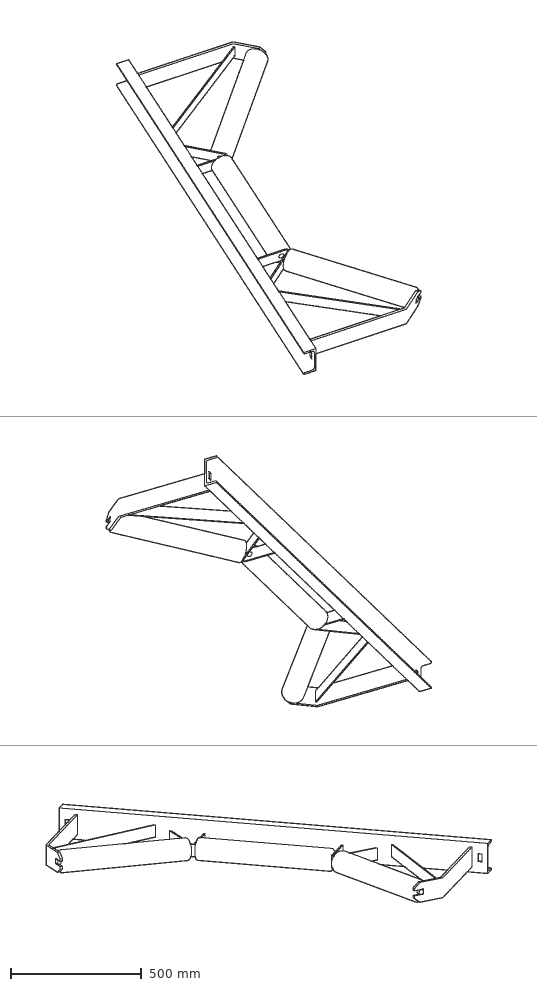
import cadquery as cq
import math


beam_length = 1700.0
beam_height = 120.0
beam_depth = 51.0
web_thickness = 7.0
flange_thickness = 9.0
root_radius = 9.0
toe_radius = 4.5
mount_slot_width = 15.0
mount_slot_height = 30.0
mount_slot_from_end = 30.0

roller_diameter = 88.0
roller_length = 534.0
roller_edge_radius = 5.0
shaft_diameter = 20.0
end_gap = 3.0
trough_angle = 40.0
forward_tilt = 2.0
wing_x = 508.0
wing_y = 306.0
center_y = 120.0
rise = roller_length * math.sin(math.radians(forward_tilt))
wing_z = -rise / 2
center_z = -rise

outer_height = 80.0
outer_thickness = 10.0
outer_x = 782.0
outer_bend_radius = 5.0
arm_length = 130.0
arm_corner_z = 20.0
arm_corner_along = 25.0

inner_height = 50.0
inner_thickness = 6.0
inner_bend_radius = 5.0
inner_x = roller_length / 2 + end_gap + inner_thickness / 2

brace_thickness = 5.0
brace_height = 50.0
brace_top_along_arm = 7.0
brace_foot_x = 471.0

slope = math.radians(trough_angle)
wing_direction = (-math.cos(slope), math.sin(slope))
plate_direction = (math.sin(slope), math.cos(slope))


def offset_point(point, direction, distance):
    return (point[0] + distance * direction[0], point[1] + distance * direction[1])


def bend_point(upright_x, along_wing):
    """Where an upright at upright_x meets a plate square to the left wing axis.

    along_wing is the distance of the plate from the middle of the wing roller, positive outward.
    """
    plate_point = offset_point((-wing_x, wing_y), wing_direction, along_wing)
    rise_per_x = plate_direction[1] / plate_direction[0]
    return (upright_x, plate_point[1] + (upright_x - plate_point[0]) * rise_per_x)


def outer_bend_point():
    return bend_point(-outer_x, roller_length / 2 + end_gap + outer_thickness / 2)


def in_front_of_beam(body):
    """Trims a body flush with the back of the beam web."""
    block = cq.Workplane("XY").box(2 * beam_length, beam_length, beam_length)
    return body.intersect(block.translate((0, beam_length / 2, 0)))


def flat_bar(start, end, thickness, height):
    """Upright bar whose middle plane runs from start to end in the XY plane."""
    run = (end[0] - start[0], end[1] - start[1])
    length = math.hypot(*run)
    bar = cq.Workplane("XY").box(length, thickness, height).translate((length / 2, 0, 0))
    angle = math.degrees(math.atan2(run[1], run[0]))
    return bar.rotate((0, 0, 0), (0, 0, 1), angle).translate((start[0], start[1], 0))


def folded_strip(start, corner, end, thickness, height, inside_radius):
    """Strip with one bend; start, corner and end lie on its middle plane."""
    def unit(a, b):
        length = math.dist(a, b)
        return ((b[0] - a[0]) / length, (b[1] - a[1]) / length)

    first = unit(start, corner)
    second = unit(corner, end)
    first_normal = (-first[1], first[0])
    second_normal = (-second[1], second[0])
    half = thickness / 2
    miter_scale = 1 + first[0] * second[0] + first[1] * second[1]
    miter = tuple((p + q) / miter_scale for p, q in zip(first_normal, second_normal))

    left_corner = offset_point(corner, miter, half)
    right_corner = offset_point(corner, miter, -half)
    outline = [
        offset_point(start, first_normal, half),
        left_corner,
        offset_point(end, second_normal, half),
        offset_point(end, second_normal, -half),
        right_corner,
        offset_point(start, first_normal, -half),
    ]
    strip = cq.Workplane("XY").polyline(outline).close().extrude(height).translate((0, 0, -height / 2))

    turns_right = first[0] * second[1] - first[1] * second[0] < 0
    outside, inside = (left_corner, right_corner) if turns_right else (right_corner, left_corner)
    for place, radius in ((outside, inside_radius + thickness), (inside, inside_radius)):
        strip = strip.edges(cq.NearestToPointSelector((*place, 0))).fillet(radius)
    return strip


def make_beam():
    beam = cq.Workplane("XY").box(beam_length, beam_depth, beam_height).translate((0, -beam_depth / 2, 0))
    channel = (
        cq.Workplane("XY")
        .box(beam_length, beam_depth, beam_height - 2 * flange_thickness)
        .translate((0, -beam_depth / 2 - web_thickness, 0))
        .edges("|X and >Y")
        .fillet(root_radius)
    )
    beam = beam.cut(channel)
    inner_toe_z = beam_height / 2 - flange_thickness
    for z in (-inner_toe_z, inner_toe_z):
        beam = beam.edges(cq.NearestToPointSelector((0, -beam_depth, z))).fillet(toe_radius)
    slot_x = beam_length / 2 - mount_slot_from_end
    slots = (
        cq.Workplane("XZ")
        .pushPoints([(-slot_x, 0), (slot_x, 0)])
        .rect(mount_slot_width, mount_slot_height)
        .extrude(beam_depth, both=True)
    )
    return beam.cut(slots)


def make_roller(left_shaft, right_shaft):
    """Roller along X, centred on the origin, with a shaft stub of the given length at each end."""
    half = roller_length / 2
    drum = cq.Workplane("YZ").circle(roller_diameter / 2).extrude(roller_length).translate((-half, 0, 0))
    drum = drum.edges().fillet(roller_edge_radius)
    shaft_length = roller_length + left_shaft + right_shaft
    shaft = cq.Workplane("YZ").circle(shaft_diameter / 2).extrude(shaft_length)
    return drum.union(shaft.translate((-half - left_shaft, 0, 0)))


def at_left_wing(body):
    """Moves a body built along X to the left wing axis, +X becoming the outward direction."""
    return (
        body.rotate((0, 0, 0), (0, 1, 0), -forward_tilt)
        .rotate((0, 0, 0), (0, 0, 1), 180 - trough_angle)
        .translate((-wing_x, wing_y, wing_z))
    )


def make_center_roller():
    stub = end_gap + inner_thickness
    return make_roller(stub, stub).translate((0, center_y, center_z))


def make_wing_roller():
    inner_stub = end_gap + inner_thickness
    outer_stub = end_gap + outer_thickness
    return at_left_wing(make_roller(inner_stub, outer_stub))


def make_outer_bracket():
    corner = outer_bend_point()
    tip = offset_point(corner, plate_direction, arm_length)
    bracket = folded_strip((-outer_x, 0), corner, tip, outer_thickness, outer_height, outer_bend_radius)

    half = outer_height / 2
    for side in (-1, 1):
        corner_cut = (
            cq.Workplane("XZ")
            .polyline([(0, side * half), (-arm_corner_along, side * half), (0, side * (half - arm_corner_z))])
            .close()
            .extrude(outer_thickness, both=True)
            .rotate((0, 0, 0), (0, 0, 1), 90 - trough_angle)
            .translate((*tip, 0))
        )
        bracket = bracket.cut(corner_cut)

    slot_reach = 2 * (end_gap + 2 * outer_thickness)
    slot = (
        cq.Workplane("XY")
        .box(slot_reach, arm_length, shaft_diameter)
        .translate((roller_length / 2, (shaft_diameter - arm_length) / 2, 0))
    )
    return bracket.cut(at_left_wing(slot))


def make_inner_bracket(center_roller, wing_roller):
    corner = bend_point(-inner_x, -(roller_length / 2 + end_gap + inner_thickness / 2))
    foot = offset_point(corner, plate_direction, -(corner[1] + inner_thickness) / plate_direction[1])
    bracket = folded_strip((-inner_x, 0), corner, foot, inner_thickness, inner_height, inner_bend_radius)
    bracket = bracket.translate((0, 0, center_z))
    return in_front_of_beam(bracket).cut(center_roller).cut(wing_roller)


def make_brace(outer_bracket):
    top = offset_point(outer_bend_point(), plate_direction, brace_top_along_arm)
    foot = (-brace_foot_x, 0)
    overrun = brace_thickness / top[1]
    past_foot = offset_point(foot, (foot[0] - top[0], foot[1] - top[1]), overrun)
    brace = flat_bar(top, past_foot, brace_thickness, brace_height)
    return in_front_of_beam(brace).cut(outer_bracket)


beam = make_beam()
center_roller = make_center_roller()
bodies = [beam.val(), center_roller.val()]

left_roller = make_wing_roller()
left_outer = make_outer_bracket()
left_inner = make_inner_bracket(center_roller, left_roller)
left_brace = make_brace(left_outer)
for body in (left_roller, left_outer, left_inner, left_brace):
    bodies += [body.val(), body.mirror("YZ").val()]

result = cq.Compound.makeCompound(bodies)